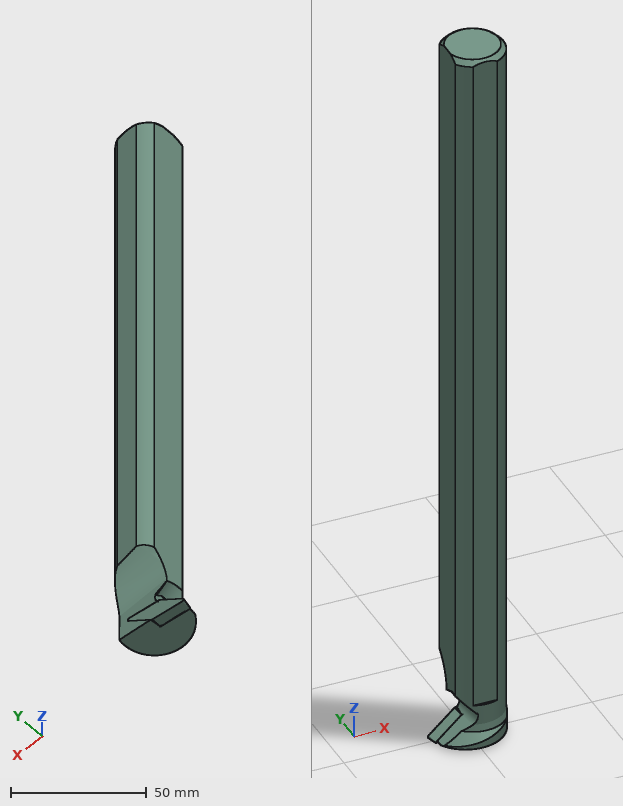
import cadquery as cq
import math

total_length = 301.25
shank_radius = 12.5
side_flat_distance = 11.5
back_flat_distance = 10.12
flat_end_z = 18.0
top_chamfer = 2.0

nose_reach = 17.99
rake_tilt = 6.0
end_edge_angle = 3.0
nose_angle = 35.0

insert_side = 16.6
insert_thickness = 4.76
insert_relief = 7.0
nose_radius = 0.8

head_bottom_z = 1.25
head_lowest_y = -15.41
head_radius = 15.35
head_center_x = shank_radius - head_radius
head_center_y = head_lowest_y + head_radius
collar_top_z = 9.7
collar_growth = 0.6
flare_top_z = 6.8
flare_angle = 43.0
lead_clearance = 0.6

notch_radius = 5.1
notch_wall_depth = 4.7
notch_wall_z = 16.4
roof_z = 21.0
roof_slope = 0.75
arch_width = 13.0
arch_rise = 1.5
arch_center_y = -5.7

scoop_floor_end_z = 18.5
scoop_height = 15.0
scoop_length = 18.0
scoop_radius = 22.0
scoop_skew = 0.22

reach = 60.0

lead_edge_angle = end_edge_angle + nose_angle
tilt_cos = math.cos(math.radians(rake_tilt))


def polar(length, angle):
    """Offset in the rake plane at an angle from its horizontal axis."""
    return (length * math.cos(math.radians(angle)), length * math.sin(math.radians(angle)))


def shifted(point, offset):
    return (point[0] + offset[0], point[1] + offset[1])


rake_plane = cq.Plane(
    origin=(-nose_reach, 0, 0),
    xDir=(tilt_cos, math.sin(math.radians(rake_tilt)), 0),
    normal=(math.sin(math.radians(rake_tilt)), -tilt_cos, 0),
)

nose_center = (nose_radius / tilt_cos, nose_radius)
nose_to_corner = nose_radius / math.sin(math.radians(nose_angle / 2))
bisector_angle = end_edge_angle + nose_angle / 2
sharp_corner = shifted(nose_center, polar(-nose_to_corner, bisector_angle))
end_corner = shifted(sharp_corner, polar(insert_side, end_edge_angle))
lead_corner = shifted(sharp_corner, polar(insert_side, lead_edge_angle))
far_corner = shifted(end_corner, polar(insert_side, lead_edge_angle))


def make_insert():
    outline = (
        cq.Sketch()
        .polygon([sharp_corner, end_corner, far_corner, lead_corner, sharp_corner])
        .vertices("<X or >X")
        .fillet(nose_radius)
    )
    return cq.Workplane(rake_plane).placeSketch(outline).extrude(insert_thickness, taper=insert_relief)


def make_shank():
    shank = (
        cq.Workplane("XY", origin=(0, 0, head_bottom_z))
        .circle(shank_radius)
        .extrude(total_length - head_bottom_z)
        .faces(">Z")
        .chamfer(top_chamfer)
    )
    flat_center_x = reach / 2 - back_flat_distance
    flatted = cq.Workplane("XY", origin=(flat_center_x, 0, flat_end_z))
    keep = flatted.rect(reach, 2 * side_flat_distance).extrude(total_length)
    round_end = cq.Workplane("XY").circle(shank_radius).extrude(flat_end_z)
    return shank.intersect(keep.union(round_end))


def make_head():
    collar_radius = shank_radius + collar_growth
    cone_bottom_radius = collar_radius + flare_top_z * math.tan(math.radians(flare_angle))
    disc = (
        cq.Workplane("XY", origin=(head_center_x, head_center_y, head_bottom_z))
        .circle(head_radius)
        .extrude(collar_top_z - head_bottom_z)
    )
    flare = (
        cq.Workplane("XZ")
        .moveTo(0, collar_top_z)
        .lineTo(shank_radius, collar_top_z)
        .lineTo(collar_radius, flare_top_z)
        .lineTo(cone_bottom_radius, 0)
        .lineTo(0, 0)
        .close()
        .revolve(360, (0, 0), (0, 1))
    )
    return disc.intersect(flare)


def make_space_below_roof():
    """Space under the sloping notch roof, with a shallow arch along its middle."""
    roof_plane = cq.Plane(
        origin=(-back_flat_distance, arch_center_y, roof_z),
        xDir=(0, -1, 0),
        normal=(-1, 0, roof_slope),
    )
    return (
        cq.Workplane(roof_plane)
        .moveTo(-reach, -arch_rise)
        .lineTo(-arch_width / 2, -arch_rise)
        .threePointArc((0, 0), (arch_width / 2, -arch_rise))
        .lineTo(reach, -arch_rise)
        .lineTo(reach, -reach)
        .lineTo(-reach, -reach)
        .close()
        .extrude(reach, both=True)
    )


def make_notch():
    """Space outside the head's lead face, with a chip notch above it."""
    lead_shift = polar(lead_clearance, lead_edge_angle - 90)
    lead_low = shifted(shifted(sharp_corner, polar(-nose_to_corner, lead_edge_angle)), lead_shift)
    lead_high = shifted(lead_corner, lead_shift)
    wall_foot = (nose_reach - back_flat_distance + notch_wall_depth, notch_wall_z)
    opening = (
        cq.Workplane(rake_plane)
        .moveTo(*lead_low)
        .lineTo(*lead_high)
        .radiusArc(wall_foot, -notch_radius)
        .lineTo(wall_foot[0], reach)
        .lineTo(-reach, reach)
        .lineTo(-reach, lead_low[1])
        .close()
        .extrude(reach, both=True)
    )
    return opening.intersect(make_space_below_roof())


def make_scoop():
    """Cutter above the rake plane whose arched upper end is skewed across the bar."""
    span = 2 * reach
    profile_origin = cq.Vector(-nose_reach, 0, scoop_floor_end_z + scoop_skew * nose_reach)
    sweep = cq.Vector(1, math.tan(math.radians(rake_tilt)), -scoop_skew) * span
    start = profile_origin - sweep * 0.5
    profile = (
        cq.Workplane("YZ", origin=start.toTuple())
        .lineTo(0, -span)
        .lineTo(scoop_height, -span)
        .lineTo(scoop_height, scoop_length)
        .radiusArc((0, 0), -scoop_radius)
        .close()
    )
    return cq.Workplane(cq.Solid.extrudeLinear(profile.val(), [], sweep))


def make_bar(insert):
    return make_shank().union(make_head()).cut(make_notch()).cut(make_scoop()).cut(insert)


insert = make_insert()
bar = make_bar(insert)

result = cq.Compound.makeCompound([bar.val(), insert.val()])